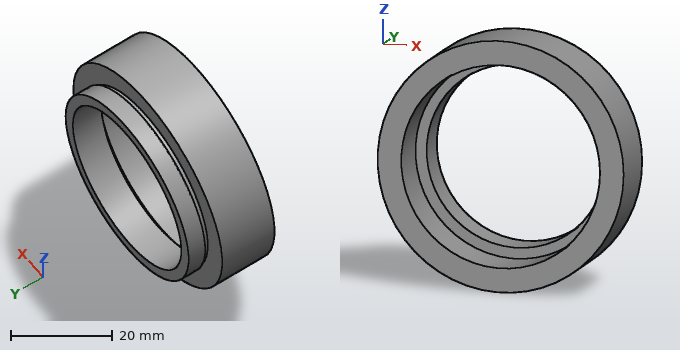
import cadquery as cq

body_diameter = 50.8
body_length = 12.7
relief_diameter = 41.0
relief_length = 1.0
collar_diameter = 42.0
collar_length = 4.0
bore_diameter = 37.0
counterbore_diameter = 41.0
counterbore_floor_setback = 2.0
groove_diameter = 42.2
groove_width = 1.0

total_length = body_length + relief_length + collar_length
counterbore_depth = body_length - counterbore_floor_setback


def disc(diameter, start, length):
    """Cylinder on the Y axis, running from y = start toward +Y."""
    plane = cq.Workplane("XZ", origin=(0, start, 0))
    return plane.circle(diameter / 2).extrude(-length)


def outer_shape():
    """Solid body, undercut neck and collar stacked along Y."""
    body = disc(body_diameter, 0, body_length)
    relief = disc(relief_diameter, body_length, relief_length)
    collar = disc(collar_diameter, body_length + relief_length, collar_length)
    return body.union(relief).union(collar)


def stepped_bore():
    """Through bore, front counterbore and the relief groove at the counterbore floor."""
    bore = disc(bore_diameter, 0, total_length)
    counterbore = disc(counterbore_diameter, 0, counterbore_depth)
    groove = disc(groove_diameter, counterbore_depth - groove_width, groove_width)
    return bore.union(counterbore).union(groove)


result = outer_shape().cut(stepped_bore())